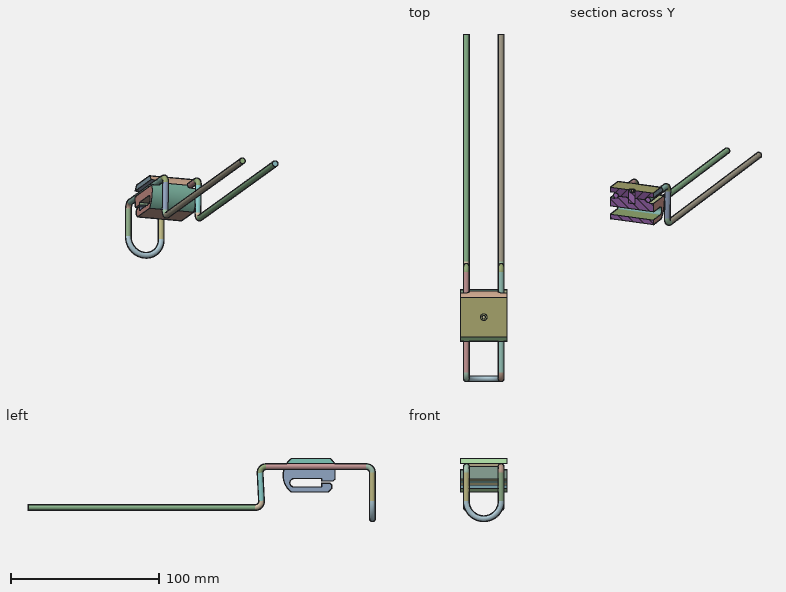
import cadquery as cq
import math

wire_diameter = 4.0
wire_radius = wire_diameter / 2
arm_x = 11.7
bend_radius = 4.1
overall_length = 234.0
overall_height = 42.5
wire_top_z = -3.5
clamped_z = wire_top_z - wire_radius
front_leg_y = wire_radius
loop_center_z = -overall_height + wire_radius + arm_x
rear_leg_top_y = 78.0
rear_leg_bottom_y = 76.5
tail_z = -33.0

clamp_width = 31.5
clamp_front_y = 27.1
clamp_back_y = 62.2
top_front_y = 30.2
top_back_y = 56.6
base_bottom_z = -22.7
ledge_z = wire_top_z - wire_diameter

slot_top_z = -13.5
slot_bottom_z = -19.2
slot_back_y = 57.5
slot_front_y = 36.3
slit_top_z = -15.2
slit_bottom_z = -16.5
jaw_chamfer = 1.5
lip_front_y = 29.2
lip_bottom_chamfer = 2.5

screw_y = 43.5
screw_diameter = 4.5
screw_length = 9.4
socket_width = 2.5
socket_depth = 1.9


def bend_points(before, corner, after):
    """Start, middle and end of the arc that rounds a corner, as (y, z) points."""
    to_before = (cq.Vector(*before) - cq.Vector(*corner)).normalized()
    to_after = (cq.Vector(*after) - cq.Vector(*corner)).normalized()
    half_angle = to_before.getAngle(to_after) / 2
    setback = bend_radius / math.tan(half_angle)
    middle_distance = bend_radius / math.sin(half_angle) - bend_radius
    bisector = (to_before + to_after).normalized()
    corner_point = cq.Vector(*corner)
    return (
        corner_point + to_before * setback,
        corner_point + bisector * middle_distance,
        corner_point + to_after * setback,
    )


def arm_edges(x):
    """Centerline of one arm, from its tail to the loop."""
    corners = [
        (overall_length, tail_z),
        (rear_leg_bottom_y, tail_z),
        (rear_leg_top_y, clamped_z),
        (front_leg_y, clamped_z),
        (front_leg_y, loop_center_z),
    ]
    edges = []
    position = cq.Vector(x, *corners[0])
    for before, corner, after in zip(corners, corners[1:], corners[2:]):
        start, middle, end = [cq.Vector(x, p.x, p.y) for p in bend_points(before, corner, after)]
        edges.append(cq.Edge.makeLine(position, start))
        edges.append(cq.Edge.makeThreePointArc(start, middle, end))
        position = end
    edges.append(cq.Edge.makeLine(position, cq.Vector(x, *corners[-1])))
    return edges


def make_wire():
    loop = cq.Edge.makeThreePointArc(
        cq.Vector(-arm_x, front_leg_y, loop_center_z),
        cq.Vector(0, front_leg_y, loop_center_z - arm_x),
        cq.Vector(arm_x, front_leg_y, loop_center_z),
    )
    path = cq.Wire.assembleEdges(arm_edges(-arm_x) + [loop] + arm_edges(arm_x))
    tail_plane = cq.Plane(origin=(-arm_x, overall_length, tail_z), xDir=(1, 0, 0), normal=(0, -1, 0))
    return cq.Workplane(tail_plane).circle(wire_radius).sweep(cq.Workplane(path))


def clamp_box(width, bottom_z, top_z):
    """Box over the full clamp length, centered in X."""
    return cq.Workplane("XY").box(
        width, clamp_back_y - clamp_front_y, top_z - bottom_z, centered=(True, False, False)
    ).translate((0, clamp_front_y, bottom_z))


def clamp_block():
    """Full-width clamp with its sloping front edge, rounded back and front hook."""
    return (
        cq.Workplane("YZ")
        .moveTo(top_front_y, 0)
        .lineTo(top_back_y, 0)
        .threePointArc((clamp_back_y, base_bottom_z / 2), (top_back_y, base_bottom_z))
        .lineTo(lip_front_y + lip_bottom_chamfer, base_bottom_z)
        .lineTo(lip_front_y, base_bottom_z + lip_bottom_chamfer)
        .lineTo(lip_front_y, slit_bottom_z - jaw_chamfer)
        .lineTo(lip_front_y + jaw_chamfer, slit_bottom_z)
        .lineTo(slot_front_y, slit_bottom_z)
        .lineTo(slot_front_y, slit_top_z)
        .lineTo(clamp_front_y + jaw_chamfer, slit_top_z)
        .lineTo(clamp_front_y, slit_top_z + jaw_chamfer)
        .lineTo(clamp_front_y, wire_top_z)
        .close()
        .extrude(clamp_width / 2, both=True)
    )


def slot_cutter():
    """Long slot across the clamp, rounded at the back and square at the front."""
    slot_radius = (slot_top_z - slot_bottom_z) / 2
    round_start_y = slot_back_y - slot_radius
    return (
        cq.Workplane("YZ")
        .moveTo(slot_front_y, slot_bottom_z)
        .lineTo(round_start_y, slot_bottom_z)
        .threePointArc((slot_back_y, slot_bottom_z + slot_radius), (round_start_y, slot_top_z))
        .lineTo(slot_front_y, slot_top_z)
        .close()
        .extrude(clamp_width / 2, both=True)
    )


def screw_blank():
    return (
        cq.Workplane("XY")
        .center(0, screw_y)
        .circle(screw_diameter / 2)
        .extrude(-screw_length)
    )


def wire_grooves():
    """Two straight round bars in the places of the clamped arms."""
    return (
        cq.Workplane("XZ", origin=(0, clamp_front_y, clamped_z))
        .pushPoints([(-arm_x, 0), (arm_x, 0)])
        .circle(wire_radius)
        .extrude(clamp_front_y - clamp_back_y)
    )


def clamp_part(plate_bottom_z, plate_top_z, core_bottom_z, core_top_z):
    """Full-width plate and narrower core, grooved for the wire and drilled for the screw."""
    plate = clamp_box(clamp_width, plate_bottom_z, plate_top_z)
    core = clamp_box(2 * arm_x, core_bottom_z, core_top_z)
    return clamp_block().intersect(plate.union(core)).cut(wire_grooves()).cut(screw_blank())


def make_base():
    """Hooked lower half, whose core rises to the wire centerline."""
    return clamp_part(base_bottom_z, ledge_z, ledge_z, clamped_z).cut(slot_cutter())


def make_cover():
    """Upper half, whose core reaches down to the wire centerline."""
    return clamp_part(wire_top_z, 0, clamped_z, wire_top_z)


def make_screw():
    socket = (
        cq.Workplane("XY")
        .center(0, screw_y)
        .polygon(6, socket_width)
        .extrude(-socket_depth)
    )
    return screw_blank().cut(socket)


wire = make_wire()
base = make_base()
cover = make_cover()
screw = make_screw()

result = cq.Compound.makeCompound([wire.val(), base.val(), cover.val(), screw.val()])